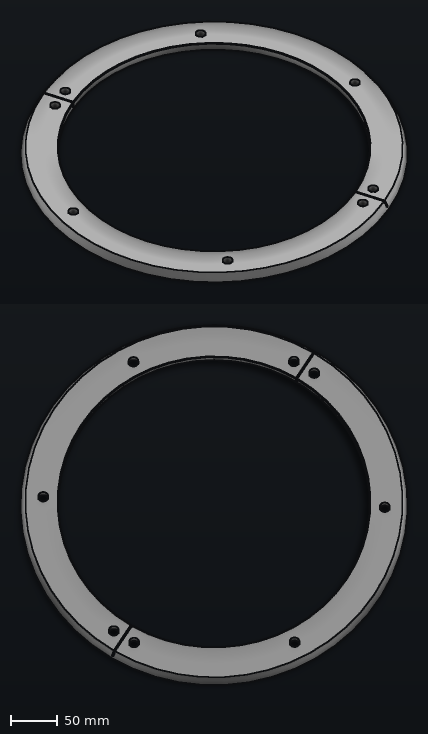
import cadquery as cq
import math

outer_radius = 208.8
bore_radius = 168.0
bore_chamfer = 1.0
thickness = 9.5
bevel_angle = 30.0
top_radius = outer_radius - thickness * math.tan(math.radians(bevel_angle))

hole_diameter = 11.0
hole_circle_radius = 184.0
mid_hole_angle = 60.0
joint_hole_angle = 4.0

groove_width = 1.5
groove_floor = 3.0


def make_ring():
    """Revolve the ring section: bore with a chamfered top edge, bevelled outer wall."""
    return (
        cq.Workplane("XZ")
        .moveTo(bore_radius, 0)
        .lineTo(outer_radius, 0)
        .lineTo(top_radius, thickness)
        .lineTo(bore_radius + bore_chamfer, thickness)
        .lineTo(bore_radius, thickness - bore_chamfer)
        .close()
        .revolve(360, (0, 0, 0), (0, 1, 0))
    )


def make_holes():
    """Through holes, mirrored about both the X and Y axes."""
    centers = []
    for angle in (joint_hole_angle, mid_hole_angle):
        x = hole_circle_radius * math.cos(math.radians(angle))
        y = hole_circle_radius * math.sin(math.radians(angle))
        centers += [(x, y), (-x, y), (-x, -y), (x, -y)]
    return cq.Workplane("XY").pushPoints(centers).circle(hole_diameter / 2).extrude(thickness)


def make_joint_groove():
    """One straight cut that crosses both sides of the ring from the top."""
    return (
        cq.Workplane("XY")
        .workplane(offset=groove_floor)
        .rect(2 * outer_radius, groove_width)
        .extrude(thickness - groove_floor)
    )


result = make_ring().cut(make_holes()).cut(make_joint_groove())